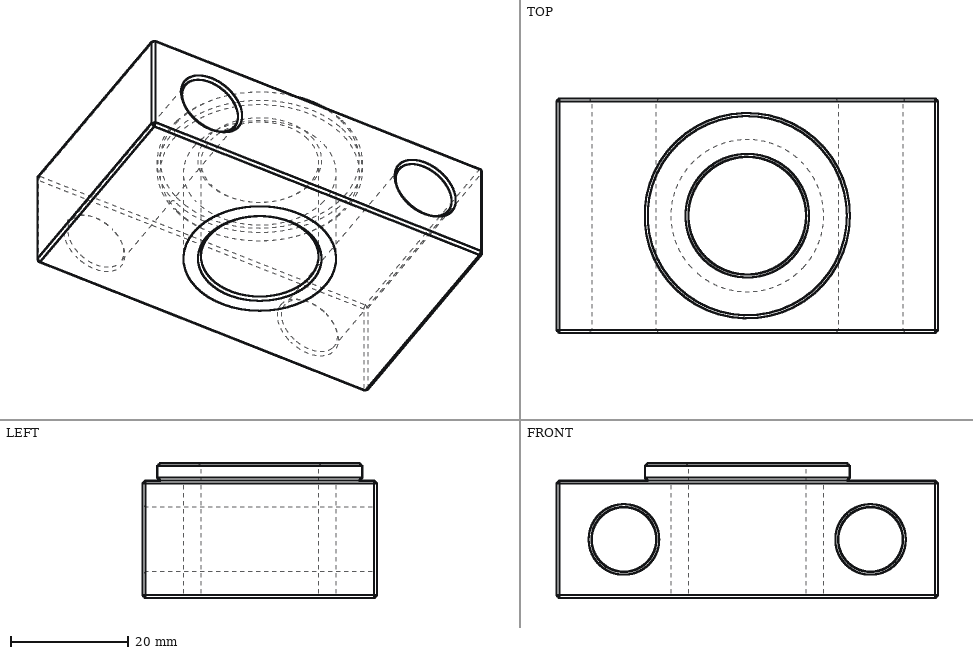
import cadquery as cq

block_length = 65.0
block_width = 40.0
block_height = 20.0
edge_chamfer = 0.5

cross_hole_diameter = 11.0
cross_hole_spacing = 42.0
cross_hole_chamfer = 0.5

overall_height = 23.0
flange_thickness = overall_height - block_height
flange_diameter = 35.0
flange_chamfer = 0.5
bore_diameter = 20.0
bore_chamfer = 0.5
sleeve_diameter = 26.0


def make_block():
    """Chamfered block with two cross holes and a through seat for the bushing."""
    block = cq.Workplane("XY").box(
        block_length, block_width, block_height, centered=(True, True, False)
    )
    block = block.edges().chamfer(edge_chamfer)
    for side in (-1, 1):
        block = block.cut(make_cross_hole(side * cross_hole_spacing / 2))
    seat = cq.Workplane("XY").circle(sleeve_diameter / 2).extrude(block_height)
    return block.cut(seat)


def make_cross_hole(x):
    """Cutter for a cross hole at x, flared by a chamfer at both mouths."""
    radius = cross_hole_diameter / 2
    mouth_radius = radius + cross_hole_chamfer
    half_width = block_width / 2
    straight_end = half_width - cross_hole_chamfer
    profile = [
        (0, -half_width),
        (mouth_radius, -half_width),
        (radius, -straight_end),
        (radius, straight_end),
        (mouth_radius, half_width),
        (0, half_width),
    ]
    cutter = cq.Workplane("XY").polyline(profile).close().revolve(360, (0, 0, 0), (0, 1, 0))
    return cutter.translate((x, 0, block_height / 2))


def make_bushing():
    """Sleeve through the block, with a chamfered flange resting on top of it."""
    flange = (
        cq.Workplane("XY")
        .workplane(offset=block_height)
        .circle(flange_diameter / 2)
        .extrude(flange_thickness)
        .edges()
        .chamfer(flange_chamfer)
    )
    sleeve = cq.Workplane("XY").circle(sleeve_diameter / 2).extrude(block_height)
    bore = cq.Workplane("XY").circle(bore_diameter / 2).extrude(overall_height)
    bushing = flange.union(sleeve).cut(bore)
    bore_edges = cq.selectors.RadiusNthSelector(0)
    return bushing.edges("%CIRCLE").edges(bore_edges).chamfer(bore_chamfer)


block = make_block()
bushing = make_bushing()
result = cq.Compound.makeCompound([block.val(), bushing.val()])